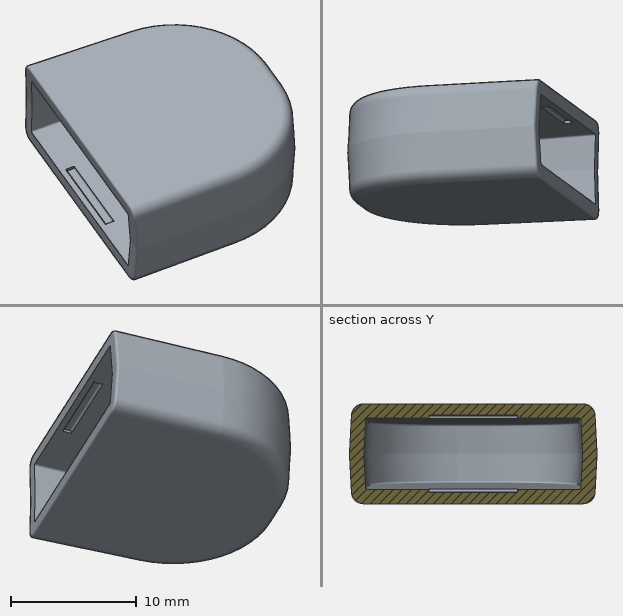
import cadquery as cq
import math

width = 19.79
depth = 17.6
height = 8.0
half_height = height / 2
nose_radius = 8.47
side_angle = 1.2
draft_angle = 3.0
mouth_angle = 2.5
edge_radius = 0.99
rim_radius = 0.2
rim_setback = half_height * math.tan(math.radians(mouth_angle))

side_tilt = math.radians(side_angle)
nose_center_y = depth - nose_radius
widest_y = rim_setback + rim_radius
side_run = nose_center_y + nose_radius * math.sin(side_tilt) - widest_y
back_flat_half = width / 2 - nose_radius * math.cos(side_tilt) - side_run * math.tan(side_tilt)

wall = 1.19
mouth_half_height = 2.85
ceiling_angle = 1.9
cavity_edge_radius = 0.15

groove_length = 7.05
groove_width = 0.71
groove_depth = 0.24
groove_corner_radius = 0.18
groove_y = 0.95

overshoot = 0.99


def plan_outline(inset):
    """Closed U-shaped plan, inset evenly from the outer wall, with a rounded back."""
    radius = nose_radius - inset
    middle = (math.pi / 2 + side_tilt) / 2

    def on_arc(angle):
        return back_flat_half + radius * math.cos(angle), nose_center_y + radius * math.sin(angle)

    side_x, side_y = on_arc(side_tilt)
    middle_x, middle_y = on_arc(middle)
    back_y = nose_center_y + radius
    front_x = side_x + (side_y + overshoot) * math.tan(side_tilt)
    return (
        cq.Workplane("XY")
        .moveTo(-front_x, -overshoot)
        .lineTo(front_x, -overshoot)
        .lineTo(side_x, side_y)
        .threePointArc((middle_x, middle_y), (back_flat_half, back_y))
        .lineTo(-back_flat_half, back_y)
        .threePointArc((-middle_x, middle_y), (-side_x, side_y))
        .close()
    )


def both_halves(upper):
    """Upper half joined with its mirror image across the parting plane."""
    return upper.union(upper.mirror("XY"))


def make_body():
    upper = plan_outline(0).extrude(half_height, taper=draft_angle)
    upper = upper.faces(">Z").edges("not <Y").fillet(edge_radius)
    trim_reach = 2 * overshoot
    mouth_trim = (
        cq.Workplane("YZ")
        .polyline([(-trim_reach, 0), (rim_setback, 0), (0, half_height), (-trim_reach, half_height)])
        .close()
        .extrude(depth, both=True)
    )
    upper = upper.cut(mouth_trim)
    rim_edges = upper.faces("<Y").edges("not(<Z)")
    return both_halves(rim_edges.fillet(rim_radius))


def make_cavity():
    upper = plan_outline(wall).extrude(half_height, taper=draft_angle)
    slope = math.tan(math.radians(ceiling_angle))
    front_z = mouth_half_height + overshoot * slope
    back_z = mouth_half_height - depth * slope
    ceiling_trim = (
        cq.Workplane("YZ")
        .polyline([(-overshoot, 0), (-overshoot, front_z), (depth, back_z), (depth, 0)])
        .close()
        .extrude(depth, both=True)
    )
    upper = upper.intersect(ceiling_trim)
    upper = upper.faces(">Z").edges("not <Y").fillet(cavity_edge_radius)
    return both_halves(upper)


def make_grooves():
    """One bar spanning the cavity height; its ends sink into the floor and ceiling."""
    surface_z = mouth_half_height - groove_y * math.tan(math.radians(ceiling_angle))
    bottom_z = surface_z + groove_depth
    return (
        cq.Workplane("XY")
        .center(0, groove_y)
        .box(groove_length, groove_width, 2 * bottom_z)
        .edges("|X")
        .fillet(groove_corner_radius)
    )


result = make_body().cut(make_cavity()).cut(make_grooves())